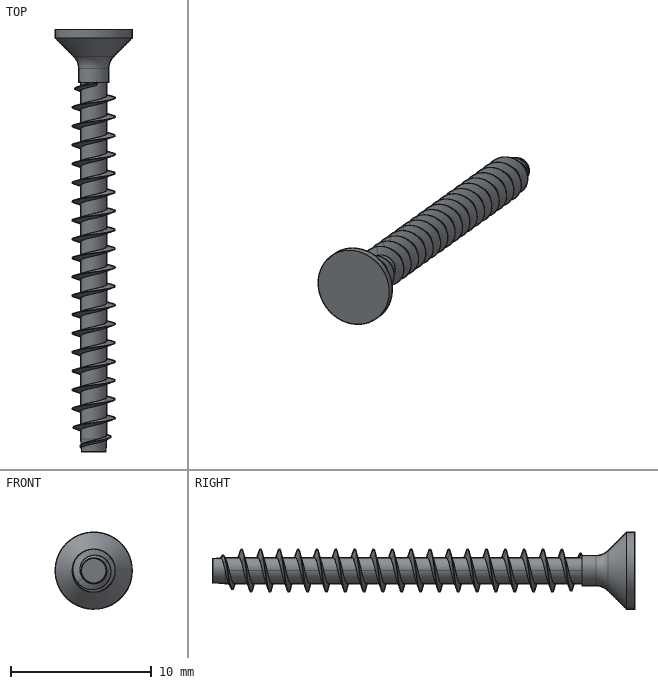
import cadquery as cq
import math

length = 30.0

head_diameter = 5.5
head_radius = head_diameter / 2
rim_height = 0.6
cone_angle = math.radians(45)
neck_fillet = 1.2
shank_radius = 1.08
shank_end = 3.75

core_radius = 0.93
tip_radius = 0.87
tip_taper_start = 29.1

first_crest_depth = 4.85
last_crest_depth = 27.6
full_turns = 17
pitch = (last_crest_depth - first_crest_depth) / full_turns
crest_radius = 1.53
crest_width = 0.03
root_head_side = 0.18
root_tip_side = 0.25
root_radius = 0.78
thread_start = 3.8
run_in_radius = 1.23
run_in_end = 4.8
run_out_start = 28.1
run_out_radius = 0.93
thread_end = 29.73

pieces_per_turn = 2
intervals_per_piece = 8


def make_body():
    """Head, neck fillet, shank and core as one revolved outline."""
    arc_end_radius = shank_radius + neck_fillet * (1 - math.cos(cone_angle))
    cone_end = rim_height + (head_radius - arc_end_radius) / math.tan(cone_angle)
    neck_end = cone_end + neck_fillet * math.sin(cone_angle)
    half_angle = cone_angle / 2
    arc_middle = (
        shank_radius + neck_fillet * (1 - math.cos(half_angle)),
        -neck_end + neck_fillet * math.sin(half_angle),
    )
    return (
        cq.Workplane("XY")
        .moveTo(0, 0)
        .lineTo(head_radius, 0)
        .lineTo(head_radius, -rim_height)
        .lineTo(arc_end_radius, -cone_end)
        .threePointArc(arc_middle, (shank_radius, -neck_end))
        .lineTo(shank_radius, -shank_end)
        .lineTo(core_radius, -shank_end)
        .lineTo(core_radius, -tip_taper_start)
        .lineTo(tip_radius, -length)
        .lineTo(0, -length)
        .close()
        .revolve(360, (0, 0, 0), (0, 1, 0))
    )


def buried_root_radius(depth):
    """Root radius: the same at every depth."""
    return root_radius


def crest_radius_at(depth):
    """Crest radius: grows at the run-in, constant in between, shrinks at the run-out."""
    if depth < run_in_end:
        done = (depth - thread_start) / (run_in_end - thread_start)
        return run_in_radius + done * (crest_radius - run_in_radius)
    if depth > run_out_start:
        done = (depth - run_out_start) / (thread_end - run_out_start)
        return crest_radius + done * (run_out_radius - crest_radius)
    return crest_radius


def helix_edge(radius_at, offset, start, end):
    """Helical curve shifted along the axis by offset from the middle of the crest."""
    points = []
    for i in range(intervals_per_piece + 1):
        depth = start + (end - start) * i / intervals_per_piece
        angle = 2 * math.pi * (depth - first_crest_depth) / pitch
        radius = radius_at(depth)
        points.append(cq.Vector(radius * math.cos(angle), -depth - offset, radius * math.sin(angle)))
    return cq.Edge.makeSpline(points)


def thread_corners(start, end):
    """The four long edges of one piece of thread."""
    return [
        helix_edge(buried_root_radius, -root_head_side, start, end),
        helix_edge(crest_radius_at, -crest_width / 2, start, end),
        helix_edge(crest_radius_at, crest_width / 2, start, end),
        helix_edge(buried_root_radius, root_tip_side, start, end),
    ]


def end_cap(corners):
    """Flat face across one end of the thread."""
    outline = cq.Wire.makePolygon(corners, close=True)
    return cq.Face.makeFromWires(outline)


def make_thread():
    """Trapezoidal thread skinned piece by piece with helical faces and closed by flat ends."""
    piece_count = math.ceil((thread_end - thread_start) / pitch * pieces_per_turn)
    piece_length = (thread_end - thread_start) / piece_count
    pieces = [
        thread_corners(thread_start + i * piece_length, thread_start + (i + 1) * piece_length)
        for i in range(piece_count)
    ]
    faces = [end_cap([edge.startPoint() for edge in pieces[0]])]
    for corners in pieces:
        for edge, next_edge in zip(corners, corners[1:] + corners[:1]):
            faces.append(cq.Face.makeRuledSurface(edge, next_edge))
    faces.append(end_cap([edge.endPoint() for edge in pieces[-1]]))
    return cq.Solid.makeSolid(cq.Shell.makeShell(faces))


screw = make_body().union(cq.Workplane(obj=make_thread()))
result = screw.solids()